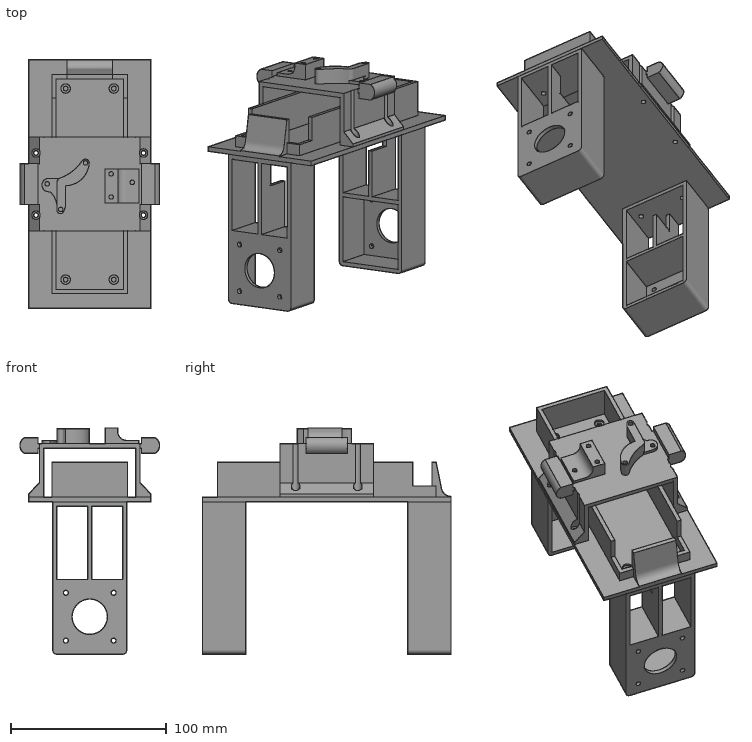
import cadquery as cq
plate_length = 160.0
plate_width = 78.7
plate_thickness = 3.0
leg_height = 98.0
plate_top = leg_height + plate_thickness

tray_length = 140.8
tray_width = 48.8
tray_wall = 2.7
tray_height = 22.4
tray_top = plate_top + tray_height

rim_height = 7.2
rim_length = 15.0
tab_width = 29.5
tab_toe_y = 74.9
tab_toe_height = 0.5
tab_fillet = 6.0

screw_hole = 3.0
floor_counterbore = 6.0
floor_counterbore_depth = 1.5
floor_screw_x = 15.5
floor_screw_y = 61.5

leg_width = 47.7
leg_depth = 28.0
leg_wall = 2.7
leg_top = 3.0
leg_corner = 2.7
shelf_top = 48.2
divider_notch = 16.8
motor_boss = 22.5
motor_z = 24.2
motor_screw_pitch = 30.7

cover_length = 60.3
cover_width = 64.8
cover_wall = 2.9
cover_roof = 3.0
cover_height = 34.4
cover_top = plate_top + cover_height
foot_height = 9.1
foot_edge = 2.0
cover_hole = 2.9
cover_counterbore = 5.5
counterbore_floor = plate_top + 2.0
cover_screw_x = 34.5
cover_screw_y = 20.0

overall_width = 90.0
grip_length = 26.4
grip_inner_x = 33.3
grip_round = 3.0
grip_bottom = cover_top - 6.4
grip_top = cover_top + 3.8

small_hole = 2.9
flange_thickness = 2.0
lever_height = 9.6
arm_left_x = -21.1
arm_right_x = -15.7
arm_tip_y = -16.8
arm_tip_radius = 2.2
flange_x = -26.4
flange_y = -0.6
flange_radius = 4.3
lever_holes = [(-18.7, -16.3), (-2.7, 13.6), (-27.4, 0.2)]

clamp_height = 10.0
clamp_x_min = 10.0
clamp_x_max = 31.5
clamp_length = 22.0
clamp_y = -1.1
clamp_block_x = 18.0
clamp_fillet = 5.6
clamp_holes = [(13.8, 6.5), (13.8, -8.3), (27.4, 1.1)]


def slab(x_size, y_size, z_min, z_max, x=0.0, y=0.0):
    """Box centred on (x, y) that reaches from z_min to z_max."""
    return cq.Workplane("XY", origin=(x, y, z_min)).box(
        x_size, y_size, z_max - z_min, centered=(True, True, False)
    )


def upright_cylinders(points, diameter, z_min, z_max):
    """Vertical cylinders at the given (x, y) points."""
    return (
        cq.Workplane("XY", origin=(0, 0, z_min))
        .pushPoints(points)
        .circle(diameter / 2)
        .extrude(z_max - z_min)
    )


def four_corners(x, y):
    """Four points placed symmetrically about the origin."""
    return [(-x, -y), (x, -y), (-x, y), (x, y)]


floor_screws = four_corners(floor_screw_x, floor_screw_y)
cover_screws = four_corners(cover_screw_x, cover_screw_y)


def make_tab():
    """Tab on the +Y tray wall: its sloping back runs out in a fillet to a thin toe."""
    back_y = tray_length / 2
    inner_y = back_y - tray_wall
    toe_z = plate_top + tab_toe_height
    blank = (
        cq.Workplane("YZ", origin=(-tab_width / 2, 0, 0))
        .moveTo(inner_y, plate_top)
        .lineTo(plate_length / 2, plate_top)
        .lineTo(plate_length / 2, toe_z)
        .lineTo(tab_toe_y, toe_z)
        .lineTo(back_y, tray_top)
        .lineTo(inner_y, tray_top)
        .close()
        .extrude(tab_width)
    )
    toe_corner = cq.selectors.NearestToPointSelector((0, tab_toe_y, toe_z))
    return blank.edges(toe_corner).fillet(tab_fillet)


def make_base():
    """Plate with the open tray on it."""
    plate = slab(plate_width, plate_length, leg_height, plate_top)
    tray = slab(tray_width, tray_length, plate_top, tray_top)
    inside = slab(tray_width - 2 * tray_wall, tray_length - 2 * tray_wall, plate_top, tray_top)
    rim_cut = slab(
        tray_width, rim_length, plate_top + rim_height, tray_top, y=tray_length / 2 - rim_length / 2
    )
    base = plate.union(tray.cut(inside).cut(rim_cut)).union(make_tab())
    base = base.cut(upright_cylinders(floor_screws, screw_hole, leg_height, plate_top))
    counterbores = upright_cylinders(
        floor_screws, floor_counterbore, plate_top - floor_counterbore_depth, plate_top
    )
    base = base.cut(counterbores)
    return base.cut(upright_cylinders(cover_screws, cover_hole, leg_height, plate_top))


def make_leg(side):
    """Leg at the -Y end (side = -1) or the +Y end (side = 1), open towards the middle."""
    outer_y = side * plate_length / 2
    centre_y = side * (plate_length - leg_depth) / 2
    bay_width = (leg_width - 3 * leg_wall) / 2
    bay_x = (bay_width + leg_wall) / 2

    leg = slab(leg_width, leg_depth, 0, leg_height, y=centre_y)
    leg = leg.edges("|Y and <Z").fillet(leg_corner)
    for x in (-bay_x, bay_x):
        leg = leg.cut(slab(bay_width, leg_depth, shelf_top, leg_height - leg_top, x, centre_y))
    notch_y = side * (plate_length / 2 - leg_depth + divider_notch / 2)
    bay_top = leg_height - leg_top
    leg = leg.cut(slab(leg_wall, divider_notch, bay_top - divider_notch, bay_top, y=notch_y))
    motor_space = slab(
        leg_width - 2 * leg_wall, leg_depth, leg_wall, shelf_top - leg_wall, y=centre_y - side * leg_wall
    )
    leg = leg.cut(motor_space)

    half_pitch = motor_screw_pitch / 2
    face = cq.Workplane("XZ", origin=(0, outer_y, motor_z))
    inward = side * 2 * leg_wall
    leg = leg.cut(face.circle(motor_boss / 2).extrude(inward))
    leg = leg.cut(face.pushPoints(four_corners(half_pitch, half_pitch)).circle(screw_hole / 2).extrude(inward))
    return leg.cut(upright_cylinders(floor_screws, screw_hole, leg_height - leg_top, leg_height))


def make_grip(side):
    """Rounded grip beside the cover, joined to the roof by a tongue."""
    outer_x = overall_width / 2
    shoulder_x = outer_x - grip_round
    middle_z = (grip_bottom + grip_top) / 2
    grip = (
        cq.Workplane("XZ", origin=(0, grip_length / 2, 0))
        .moveTo(side * grip_inner_x, grip_bottom)
        .lineTo(side * shoulder_x, grip_bottom)
        .threePointArc((side * outer_x, middle_z), (side * shoulder_x, grip_top))
        .lineTo(side * grip_inner_x, grip_top)
        .close()
        .extrude(grip_length)
    )
    tongue_inner_x = cover_width / 2 - cover_wall
    tongue = slab(
        grip_inner_x - tongue_inner_x,
        grip_length,
        cover_top - cover_roof,
        cover_top,
        side * (grip_inner_x + tongue_inner_x) / 2,
    )
    return grip.union(tongue)


def make_cover():
    """Bridge with sloping feet, screw grooves down its sides and a grip on each side."""
    half_width = cover_width / 2
    half_foot = plate_width / 2
    foot_top = plate_top + foot_height
    foot_low = plate_top + foot_edge
    cover = (
        cq.Workplane("XZ", origin=(0, cover_length / 2, 0))
        .polyline(
            [
                (-half_foot, plate_top),
                (half_foot, plate_top),
                (half_foot, foot_low),
                (half_width, foot_top),
                (half_width, cover_top),
                (-half_width, cover_top),
                (-half_width, foot_top),
                (-half_foot, foot_low),
            ]
        )
        .close()
        .extrude(cover_length)
    )
    passage = slab(cover_width - 2 * cover_wall, cover_length, plate_top, cover_top - cover_roof)
    cover = cover.cut(passage)
    cover = cover.cut(upright_cylinders(cover_screws, cover_hole, plate_top, cover_top))
    cover = cover.cut(upright_cylinders(cover_screws, cover_counterbore, counterbore_floor, cover_top))
    for side in (-1, 1):
        cover = cover.union(make_grip(side))
    return cover


def make_lever():
    """Bent arm standing on the roof, with a low screw flange on its -X side."""
    arm_tip_x = arm_left_x + arm_tip_radius
    arm = (
        cq.Workplane("XY", origin=(0, 0, cover_top))
        .moveTo(arm_left_x, 0.6)
        .lineTo(arm_left_x, arm_tip_y)
        .threePointArc((arm_tip_x, arm_tip_y - arm_tip_radius), (-16.8, -17.6))
        .lineTo(arm_right_x, -14.9)
        .lineTo(arm_right_x, -1.1)
        .threePointArc((-5.1, 3.2), (-0.3, 13.8))
        .threePointArc((-2.5, 16.0), (-4.8, 15.0))
        .threePointArc((-11.0, 8.3), (-19.5, 3.7))
        .threePointArc((-20.6, 2.5), (arm_left_x, 0.6))
        .close()
        .extrude(lever_height)
    )
    flange_top_y = flange_y + flange_radius
    flange_low_y = flange_y - flange_radius
    flange = (
        cq.Workplane("XY", origin=(0, 0, cover_top))
        .moveTo(arm_tip_x, flange_y)
        .lineTo(-19.5, flange_top_y)
        .lineTo(flange_x, flange_top_y)
        .threePointArc((flange_x - flange_radius, flange_y), (flange_x, flange_low_y))
        .lineTo(-25.5, flange_low_y)
        .threePointArc((-22.7, -8.5), (arm_left_x, arm_tip_y))
        .lineTo(arm_tip_x, arm_tip_y)
        .close()
        .extrude(flange_thickness)
    )
    holes = upright_cylinders(lever_holes, small_hole, cover_top, cover_top + lever_height)
    return arm.union(flange).cut(holes)


def make_clamp():
    """Block with a low flange on its +X side and a concave round between them."""
    blank = (
        cq.Workplane("XZ", origin=(0, clamp_y + clamp_length / 2, cover_top))
        .moveTo(clamp_x_min, 0)
        .lineTo(clamp_x_max, 0)
        .lineTo(clamp_x_max, flange_thickness)
        .lineTo(clamp_block_x, flange_thickness)
        .lineTo(clamp_block_x, clamp_height)
        .lineTo(clamp_x_min, clamp_height)
        .close()
        .extrude(clamp_length)
    )
    inner_corner = cq.selectors.NearestToPointSelector((clamp_block_x, clamp_y, cover_top + flange_thickness))
    clamp = blank.edges(inner_corner).fillet(clamp_fillet)
    holes = upright_cylinders(clamp_holes, small_hole, cover_top, cover_top + clamp_height)
    return clamp.cut(holes)


base = make_base()
legs = [make_leg(side) for side in (-1, 1)]
cover = make_cover()
lever = make_lever()
clamp = make_clamp()

result = cq.Compound.makeCompound(
    [base.val(), *[leg.val() for leg in legs], cover.val(), lever.val(), clamp.val()]
)